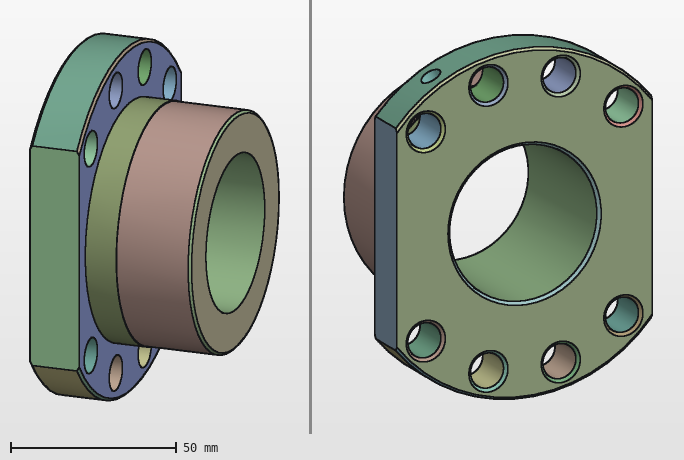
import cadquery as cq
import math

flange_diameter = 110.0
flange_thickness = 16.0
flange_width = 85.0
flange_chamfer = 0.8

overall_length = 50.0
pilot_diameter = 75.0
pilot_length = 10.0
barrel_diameter = 74.6
barrel_chamfer = 0.8

bore_diameter = 49.0
bore_chamfer = 1.0

bolt_circle_diameter = 93.0
bolt_hole_diameter = 11.0
bolt_hole_chamfer = 1.0
bolt_angles_from_vertical = (15.0, 45.0)

oil_hole_diameter = 6.5
oil_hole_angle_from_vertical = 30.0


def cylinder(diameter, start_x, length):
    """Cylinder along X, centred on the axis."""
    return cq.Workplane("YZ", origin=(start_x, 0, 0)).circle(diameter / 2).extrude(length)


def make_flange():
    disc = cylinder(flange_diameter, 0, flange_thickness).edges().chamfer(flange_chamfer)
    flats = cq.Workplane("YZ").rect(flange_width, flange_diameter).extrude(flange_thickness)
    return disc.intersect(flats)


def make_barrel():
    pilot = cylinder(pilot_diameter, flange_thickness, pilot_length)
    barrel_start = flange_thickness + pilot_length
    barrel = cylinder(barrel_diameter, barrel_start, overall_length - barrel_start)
    return pilot.union(barrel.faces(">X").edges().chamfer(barrel_chamfer))


def chamfered_hole(diameter, chamfer, length, y=0.0, z=0.0):
    """Cutter along X for a hole with a 45 degree chamfer at x = 0."""
    radius = diameter / 2
    profile = [
        (0, 0),
        (0, radius + chamfer),
        (chamfer, radius),
        (length, radius),
        (length, 0),
    ]
    cutter = cq.Workplane("XY").polyline(profile).close().revolve(360, (0, 0, 0), (1, 0, 0))
    return cutter.translate((0, y, z))


def make_bolt_holes():
    """Two holes per quadrant, mirrored about both centre planes."""
    cutters = cq.Workplane("XY")
    for angle in bolt_angles_from_vertical:
        y = bolt_circle_diameter / 2 * math.sin(math.radians(angle))
        z = bolt_circle_diameter / 2 * math.cos(math.radians(angle))
        for side_y in (-1, 1):
            for side_z in (-1, 1):
                hole = chamfered_hole(
                    bolt_hole_diameter, bolt_hole_chamfer, flange_thickness, side_y * y, side_z * z
                )
                cutters = cutters.add(hole)
    return cutters.combine()


def make_oil_hole():
    """Radial cutter at mid flange, leaning from +Z toward +Y."""
    hole = cq.Workplane("XY").circle(oil_hole_diameter / 2).extrude(flange_diameter / 2)
    hole = hole.rotate((0, 0, 0), (1, 0, 0), -oil_hole_angle_from_vertical)
    return hole.translate((flange_thickness / 2, 0, 0))


body = make_flange().union(make_barrel())
body = body.cut(chamfered_hole(bore_diameter, bore_chamfer, overall_length))
body = body.cut(make_bolt_holes())
result = body.cut(make_oil_hole())